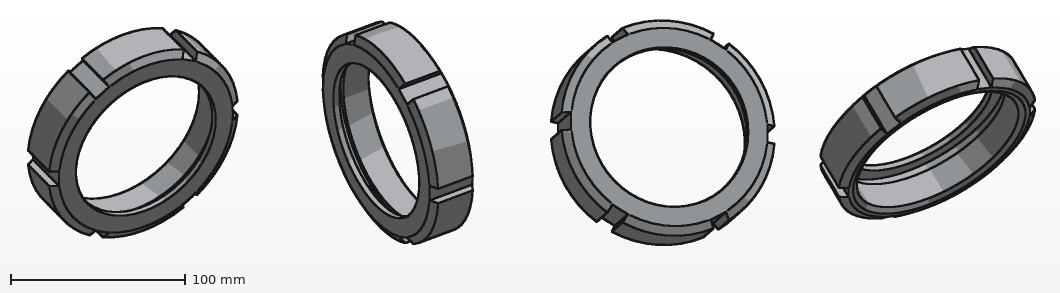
import cadquery as cq

outer_radius = 63.5
width = 29.0
rim_chamfer_length = 2.8
rim_chamfer_height = 5.1
face_radius = outer_radius - rim_chamfer_height

through_radius = 94.0 / 2
bore_radius = 104.3 / 2
bore_depth = 25.0
lead_in_radius = 55.6
lead_in_length = 2.0
relief_radius = 110.4 / 2
relief_width = 6.0

slot_count = 6
slot_width = 10.4
slot_floor = 58.4

open_face = -width / 2
closed_face = width / 2
bore_floor = open_face + bore_depth


def ring_body():
    """Revolve the half section, drawn as (axial position, radius), about X."""
    section = (
        cq.Workplane("XY")
        .moveTo(open_face, lead_in_radius)
        .lineTo(open_face, face_radius)
        .lineTo(open_face + rim_chamfer_length, outer_radius)
        .lineTo(closed_face - rim_chamfer_length, outer_radius)
        .lineTo(closed_face, face_radius)
        .lineTo(closed_face, through_radius)
        .lineTo(bore_floor, through_radius)
        .lineTo(bore_floor, relief_radius)
        .lineTo(bore_floor - relief_width, relief_radius)
        .lineTo(bore_floor - relief_width, bore_radius)
        .lineTo(open_face + lead_in_length, bore_radius)
        .close()
    )
    return section.revolve(360, (0, 0, 0), (1, 0, 0))


def spanner_slot(angle):
    """Cutter for one flat-floored slot across the rim, turned from +Y about X."""
    return (
        cq.Workplane("XY")
        .box(2 * width, outer_radius, slot_width)
        .translate((0, slot_floor + outer_radius / 2, 0))
        .rotate((0, 0, 0), (1, 0, 0), angle)
    )


result = ring_body()
for slot_index in range(slot_count):
    result = result.cut(spanner_slot(slot_index * 360 / slot_count))